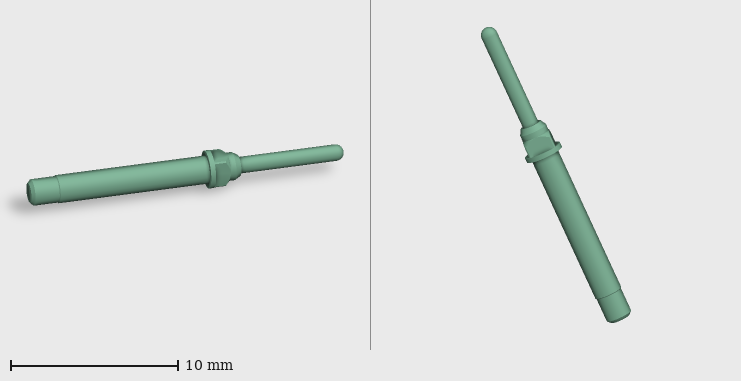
import cadquery as cq

TOTAL_LENGTH = 19.5
TAIL_LENGTH = 1.7
FLANGE_REAR = 11.0
FLANGE_THICKNESS = 0.3
SQUARE_LENGTH = 1.0
COLLAR_LENGTH = 0.35
NOSE_LENGTH = 0.35

TAIL_RADIUS = 0.8
BODY_RADIUS = 0.85
FLANGE_RADIUS = 1.15
NOSE_END_RADIUS = 0.65
PLUNGER_RADIUS = 0.5

SQUARE_WIDTH = 2 * BODY_RADIUS
TAIL_CHAMFER = 0.2

FLANGE_FRONT = FLANGE_REAR + FLANGE_THICKNESS
SQUARE_FRONT = FLANGE_FRONT + SQUARE_LENGTH
COLLAR_FRONT = SQUARE_FRONT + COLLAR_LENGTH
NOSE_FRONT = COLLAR_FRONT + NOSE_LENGTH


def revolve_about_y(profile):
    """Turn a closed (radius, Y) half-profile fully around the Y axis."""
    return profile.close().revolve(360, (0, 0, 0), (0, 1, 0))


def make_barrel():
    """Chamfered tail, main body, flange, collar and tapered nose."""
    shoulder_step = BODY_RADIUS - TAIL_RADIUS
    profile = (
        cq.Workplane("XY")
        .lineTo(TAIL_RADIUS - TAIL_CHAMFER, 0)
        .lineTo(TAIL_RADIUS, TAIL_CHAMFER)
        .lineTo(TAIL_RADIUS, TAIL_LENGTH)
        .lineTo(BODY_RADIUS, TAIL_LENGTH + shoulder_step)
        .lineTo(BODY_RADIUS, FLANGE_REAR)
        .lineTo(FLANGE_RADIUS, FLANGE_REAR)
        .lineTo(FLANGE_RADIUS, FLANGE_FRONT)
        .lineTo(BODY_RADIUS, FLANGE_FRONT)
        .lineTo(BODY_RADIUS, COLLAR_FRONT)
        .lineTo(NOSE_END_RADIUS, NOSE_FRONT)
        .lineTo(0, NOSE_FRONT)
    )
    return revolve_about_y(profile)


def make_wrench_square():
    """Square block with corners turned to the flange radius and a 45 degree cone on its front."""
    cone_length = FLANGE_RADIUS - BODY_RADIUS
    envelope = revolve_about_y(
        cq.Workplane("XY")
        .moveTo(0, FLANGE_FRONT)
        .lineTo(FLANGE_RADIUS, FLANGE_FRONT)
        .lineTo(FLANGE_RADIUS, SQUARE_FRONT - cone_length)
        .lineTo(BODY_RADIUS, SQUARE_FRONT)
        .lineTo(0, SQUARE_FRONT)
    )
    block = (
        cq.Workplane("XY")
        .box(SQUARE_WIDTH, SQUARE_LENGTH, SQUARE_WIDTH)
        .translate((0, FLANGE_FRONT + SQUARE_LENGTH / 2, 0))
    )
    return envelope.intersect(block)


def make_plunger():
    """Thin pin ending in a hemisphere."""
    profile = (
        cq.Workplane("XY")
        .moveTo(0, NOSE_FRONT)
        .lineTo(PLUNGER_RADIUS, NOSE_FRONT)
        .lineTo(PLUNGER_RADIUS, TOTAL_LENGTH - PLUNGER_RADIUS)
        .radiusArc((0, TOTAL_LENGTH), -PLUNGER_RADIUS)
    )
    return revolve_about_y(profile)


result = make_barrel().union(make_wrench_square()).union(make_plunger())